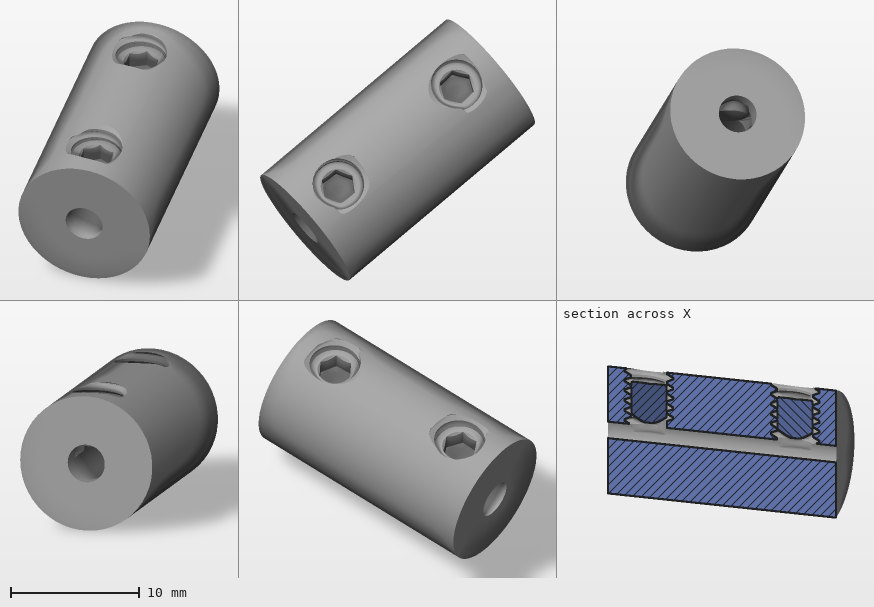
import cadquery as cq
import math

sleeve_length = 19.05
sleeve_diameter = 10.67
bore_diameter = 3.0

hole_offset = 6.1
thread_minor_diameter = 4.0
thread_major_diameter = 4.84
thread_pitch = 0.8
groove_mouth_width = 0.75 * thread_pitch
groove_root_width = thread_pitch / 8
groove_overlap = 0.05
thread_turns = math.ceil(sleeve_diameter / 2 / thread_pitch)

screw_length = 3.22
screw_tip_height = 0.91
screw_diameter = thread_minor_diameter
head_chamfer = 0.1
tip_chamfer = 0.61

hex_sides = 6
half_side_angle = 180 / hex_sides
hex_across_flats = 2.38
hex_across_corners = hex_across_flats / math.cos(math.radians(half_side_angle))
socket_depth = 1.4
socket_cone_depth = 0.57
socket_lead_in = (hex_across_corners - hex_across_flats) / 2

hole_places = [
    (hole_offset, 95.0, -3.0),
    (-hole_offset, 167.0, 4.0),
]


def make_threaded_hole():
    """Cutter for a threaded hole rising from the origin; its groove starts one pitch up, at +X."""
    minor_radius = thread_minor_diameter / 2
    major_radius = thread_major_diameter / 2
    flank_slope = (groove_mouth_width - groove_root_width) / 2 / (major_radius - minor_radius)
    inner_radius = minor_radius - groove_overlap
    inner_half_width = groove_mouth_width / 2 + flank_slope * groove_overlap
    root_half_width = groove_root_width / 2

    path = cq.Wire.makeHelix(thread_pitch, thread_turns * thread_pitch, minor_radius)
    groove = (
        cq.Workplane("XZ")
        .polyline([
            (inner_radius, -inner_half_width),
            (major_radius, -root_half_width),
            (major_radius, root_half_width),
            (inner_radius, inner_half_width),
        ])
        .close()
        .sweep(cq.Workplane(obj=path), isFrenet=True)
        .translate((0, 0, thread_pitch))
    )
    drill = cq.Workplane("XY").circle(minor_radius).extrude(sleeve_diameter)
    return drill.union(groove)


def make_sleeve():
    """Round sleeve with a through bore and two threaded holes from the top."""
    sleeve = (
        cq.Workplane("XZ")
        .circle(sleeve_diameter / 2)
        .circle(bore_diameter / 2)
        .extrude(sleeve_length / 2, both=True)
    )
    threaded_hole = make_threaded_hole()
    for y, thread_angle, _ in hole_places:
        turned_hole = threaded_hole.rotate((0, 0, 0), (0, 0, 1), thread_angle)
        sleeve = sleeve.cut(turned_hole.translate((0, y, 0)))
    return sleeve


def make_socket():
    """Hex socket cutter with a conical lead-in and a conical bottom; its mouth is at Z = 0."""
    hexagon = (
        cq.Workplane("XY")
        .polygon(hex_sides, hex_across_corners)
        .extrude(-socket_depth)
        .rotate((0, 0, 0), (0, 0, 1), half_side_angle)
    )
    lead_in = cq.Workplane(obj=cq.Solid.makeCone(
        hex_across_corners / 2, hex_across_flats / 2, socket_lead_in, dir=cq.Vector(0, 0, -1),
    ))
    bottom_cone = cq.Workplane(obj=cq.Solid.makeCone(
        hex_across_flats / 2, 0, socket_cone_depth,
        pnt=cq.Vector(0, 0, -socket_depth), dir=cq.Vector(0, 0, -1),
    ))
    return hexagon.union(lead_in).union(bottom_cone)


def make_set_screw(y, hex_angle):
    """Set screw standing on its chamfered tip, with a hex socket in its top."""
    screw = cq.Workplane("XY").circle(screw_diameter / 2).extrude(screw_length)
    screw = screw.faces(">Z").chamfer(head_chamfer)
    screw = screw.faces("<Z").chamfer(tip_chamfer)
    socket = make_socket().rotate((0, 0, 0), (0, 0, 1), hex_angle)
    screw = screw.cut(socket.translate((0, 0, screw_length)))
    return screw.translate((0, y, screw_tip_height))


sleeve = make_sleeve()
set_screws = [make_set_screw(y, hex_angle) for y, _, hex_angle in hole_places]

result = cq.Compound.makeCompound([sleeve.val(), *[screw.val() for screw in set_screws]])